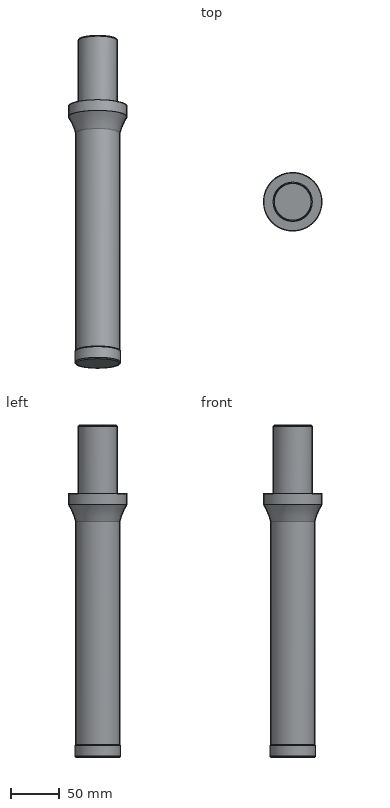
import cadquery as cq

total_length = 340.0
spigot_length = 70.0
flange_thickness = 11.2
flare_height = 17.5
cap_height = 13.3

spigot_diameter = 40.0
flange_diameter = 60.0
shank_diameter = 45.2
cap_diameter = 47.0

spigot_chamfer = 1.2
cap_foot_chamfer = 1.2
flare_sag = 0.85
cap_rim_chamfer = (cap_diameter - shank_diameter) / 2

flange_top = total_length - spigot_length
flange_bottom = flange_top - flange_thickness
flare_bottom = flange_bottom - flare_height


def make_rod():
    """Turned rod: shank, hollow-curved flare, flange and chamfered spigot."""
    spigot_radius = spigot_diameter / 2
    flange_radius = flange_diameter / 2
    shank_radius = shank_diameter / 2
    flare_middle = (
        (flange_radius + shank_radius) / 2 - flare_sag,
        (flange_bottom + flare_bottom) / 2,
    )
    half_profile = (
        cq.Workplane("XZ")
        .moveTo(0, cap_height)
        .lineTo(shank_radius, cap_height)
        .lineTo(shank_radius, flare_bottom)
        .threePointArc(flare_middle, (flange_radius, flange_bottom))
        .lineTo(flange_radius, flange_top)
        .lineTo(spigot_radius, flange_top)
        .lineTo(spigot_radius, total_length)
        .lineTo(0, total_length)
        .close()
    )
    rod = half_profile.revolve(360, (0, 0, 0), (0, 1, 0))
    return rod.faces(">Z").edges().chamfer(spigot_chamfer)


def make_end_cap():
    """Disc under the shank, slightly wider than it, chamfered at both ends."""
    cap = cq.Workplane("XY").circle(cap_diameter / 2).extrude(cap_height)
    cap = cap.faces("<Z").edges().chamfer(cap_foot_chamfer)
    return cap.faces(">Z").edges().chamfer(cap_rim_chamfer)


rod = make_rod()
end_cap = make_end_cap()

result = cq.Compound.makeCompound([rod.val(), end_cap.val()])